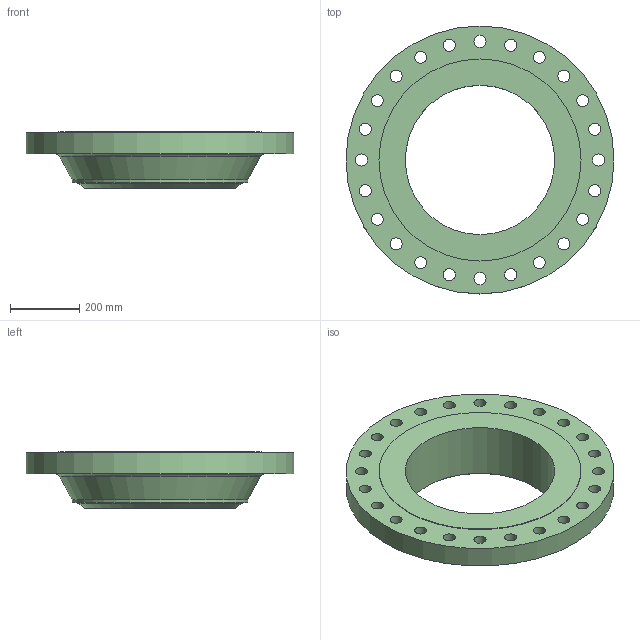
import cadquery as cq
import math

FLANGE_DIAMETER = 774.7
OVERALL_HEIGHT = 161.93
FLANGE_THICKNESS = 63.5
BORE_DIAMETER = 431.8

FACE_DIAMETER = 584.2
FACE_HEIGHT = 1.6

BOLT_COUNT = 24
BOLT_CIRCLE_DIAMETER = 685.8
BOLT_HOLE_DIAMETER = 34.93

HUB_BASE_DIAMETER = 587.4
HUB_FILLET_RADIUS = 12.7
PIPE_DIAMETER = 508.0
COLLAR_LENGTH = 7.0

ROOT_FACE_WIDTH = 1.6
BEVEL_BREAK_WIDTH = 19.0
STEEP_BEVEL_ANGLE = math.radians(37.5)
SHALLOW_BEVEL_ANGLE = math.radians(10.0)

flange_radius = FLANGE_DIAMETER / 2
face_radius = FACE_DIAMETER / 2
hub_base_radius = HUB_BASE_DIAMETER / 2
pipe_radius = PIPE_DIAMETER / 2
bore_radius = BORE_DIAMETER / 2
root_radius = bore_radius + ROOT_FACE_WIDTH
break_radius = bore_radius + BEVEL_BREAK_WIDTH

flange_back_z = -FLANGE_THICKNESS
break_z = -OVERALL_HEIGHT + (break_radius - root_radius) * math.tan(STEEP_BEVEL_ANGLE)
collar_bottom_z = break_z + (pipe_radius - break_radius) * math.tan(SHALLOW_BEVEL_ANGLE)
collar_top_z = collar_bottom_z + COLLAR_LENGTH

taper_angle = math.atan2(flange_back_z - collar_top_z, hub_base_radius - pipe_radius)
tangent_length = HUB_FILLET_RADIUS * math.tan(taper_angle / 2)
fillet_on_taper = (
    hub_base_radius - tangent_length * math.cos(taper_angle),
    flange_back_z - tangent_length * math.sin(taper_angle),
)
fillet_on_flange = (hub_base_radius + tangent_length, flange_back_z)


def make_body():
    """Flange, raised face, hub, weld bevel and bore, turned about the Z axis."""
    section = (
        cq.Workplane("XZ")
        .moveTo(bore_radius, 0)
        .lineTo(bore_radius, -OVERALL_HEIGHT)
        .lineTo(root_radius, -OVERALL_HEIGHT)
        .lineTo(break_radius, break_z)
        .lineTo(pipe_radius, collar_bottom_z)
        .lineTo(pipe_radius, collar_top_z)
        .lineTo(*fillet_on_taper)
        .tangentArcPoint(fillet_on_flange, relative=False)
        .lineTo(flange_radius, flange_back_z)
        .lineTo(flange_radius, -FACE_HEIGHT)
        .lineTo(face_radius, -FACE_HEIGHT)
        .lineTo(face_radius, 0)
        .close()
    )
    return section.revolve(360, (0, 0, 0), (0, 1, 0))


def make_bolt_holes():
    """Through-hole cutters spread evenly on the bolt circle, the first one on +X."""
    return (
        cq.Workplane("XY")
        .polarArray(BOLT_CIRCLE_DIAMETER / 2, 0, 360, BOLT_COUNT)
        .circle(BOLT_HOLE_DIAMETER / 2)
        .extrude(-FLANGE_THICKNESS)
    )


result = make_body().cut(make_bolt_holes())